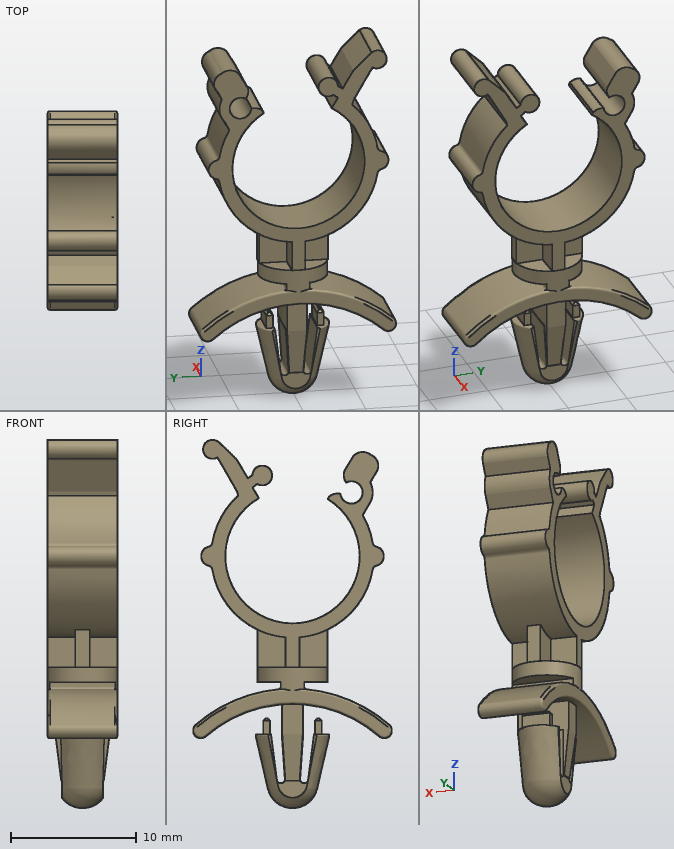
import cadquery as cq
import math


WIDTH = 5.58

RING_OUTER = 6.5
RING_INNER = 5.35
HOOK_END_ANGLE = 58.3
ARM_END_ANGLE = 120.0
HOOK_ROOT_ANGLE = 30.3
ARM_ROOT_ANGLE = 131.9
ROOT_DEPTH = 4.4
ROOT_OVERLAP = 5.0
BUMP_RADIUS = 0.8
BUMP_FILLET = 0.35
PICK = 0.1

LATCH_RADIUS = 0.8
LATCH_CENTRE = (-2.4, 6.43)
ARM_TIP_RADIUS = 0.75
ARM_TIP_CENTRE = (-6.37, 8.52)
SOCKET_RADIUS = 0.88
SOCKET_CENTRE = (4.7, 5.08)
SOCKET_OUTER = 1.7
SOCKET_BACK_START = -25.0
SOCKET_BACK_END = 28.0

RIB_THICKNESS = 1.12
RIB_EMBED = 0.3
RIB_MIDDLE = 1.17
RIB_END = 1.05
DISC_TOP = -8.87
DISC_BOTTOM = -10.05
NECK_HALF = 0.95

SADDLE_APEX = -10.55
SADDLE_RADIUS = 11.75
SADDLE_THICKNESS = 1.23
SADDLE_SPAN = 15.85
SADDLE_EDGE = 0.2
NECK_FILLET = 0.18

STEM_SHOULDER = -14.2
STEM_FOOT = -17.9
STEM_TOP_PLAN = (4.35, 1.73, 1.62)
STEM_FOOT_PLAN = (3.4, 1.2, 1.12)
DOME_BOTTOM = -20.1
DOME_RADIUS = 2.03
DOME_TOP = -18.5
FINGER_TOP = -14.2
FINGER_SPREAD = 1.0
ANCHOR_FOOT_HALF = 1.65
ANCHOR_TOP_HALF = 1.73
FINGER_FILLET = 0.12
SLOT_BOTTOM = -18.05
SLOT_FOOT_HALF = 1.2
SLOT_TOP_HALF = 1.7
SLOT_FILLET = 0.23
PEG_CENTRE = 2.05
PEG_THICKNESS = 0.55
PEG_TOP = -12.92
PEG_CHAMFER = 0.2
PEG_WIDTH = 2.35


def polar(radius, degrees, centre=(0, 0)):
    """Point in the YZ plane at an angle from +Y."""
    angle = math.radians(degrees)
    return (centre[0] + radius * math.cos(angle), centre[1] + radius * math.sin(angle))


def level(z):
    """Horizontal plane at height z."""
    return cq.Workplane("XY", origin=(0, 0, z))


def across(sketch):
    """Extrude a YZ sketch over the full width, symmetrically along X."""
    return sketch.extrude(WIDTH / 2, both=True)


def rod(radius, centre):
    """Full-width cylinder along X."""
    return across(cq.Workplane("YZ").center(*centre).circle(radius))


def tapered_plan(plane, length, middle, end):
    """Outline in plan, long in X, thickest at its middle."""
    half = length / 2
    return plane.polyline(
        [
            (-half, -end / 2),
            (0, -middle / 2),
            (half, -end / 2),
            (half, end / 2),
            (0, middle / 2),
            (-half, end / 2),
        ]
    ).close()


def ring_blank():
    """Open disc with side bumps, before boring."""
    outline = (
        cq.Workplane("YZ")
        .moveTo(0, 0)
        .lineTo(*polar(RING_OUTER, HOOK_ROOT_ANGLE))
        .threePointArc((0, -RING_OUTER), polar(RING_OUTER, ARM_ROOT_ANGLE))
        .close()
    )
    body = across(outline)
    for side in (-1, 1):
        body = body.union(rod(BUMP_RADIUS, (side * RING_OUTER, 0)))
    corner_angle = 2 * math.degrees(math.asin(BUMP_RADIUS / (2 * RING_OUTER)))
    corner_y, corner_z = polar(RING_OUTER, corner_angle)
    for y in (-corner_y, corner_y):
        for z in (-corner_z, corner_z):
            box = cq.selectors.BoxSelector((-PICK, y - PICK, z - PICK), (PICK, y + PICK, z + PICK))
            body = body.edges(box).fillet(BUMP_FILLET)
    return body


def hook():
    """Socket that takes the latch rod, with its rounded thumb block."""
    ring_end = (
        cq.Workplane("YZ")
        .moveTo(*polar(ROOT_DEPTH, HOOK_ROOT_ANGLE - ROOT_OVERLAP))
        .lineTo(*polar(RING_OUTER, HOOK_ROOT_ANGLE))
        .lineTo(*polar(SOCKET_OUTER, SOCKET_BACK_START, SOCKET_CENTRE))
        .threePointArc(
            polar(SOCKET_OUTER, 0, SOCKET_CENTRE),
            polar(SOCKET_OUTER, SOCKET_BACK_END, SOCKET_CENTRE),
        )
        .lineTo(6.75, 6.8)
        .threePointArc((6.75, 7.6), (6.25, 8.08))
        .threePointArc((5.5, 8.3), (4.85, 8.0))
        .lineTo(4.15, 6.8)
        .threePointArc((4.08, 6.35), (4.23, 5.93))
        .lineTo(*SOCKET_CENTRE)
        .lineTo(4.15, 4.4)
        .lineTo(3.8, 5.0)
        .threePointArc((3.3, 4.95), (2.9, 4.75))
        .lineTo(*polar(RING_INNER, HOOK_END_ANGLE))
        .lineTo(*polar(ROOT_DEPTH, HOOK_END_ANGLE))
        .close()
    )
    return across(ring_end).cut(rod(SOCKET_RADIUS, SOCKET_CENTRE))


def latch_arm():
    """Ring end with the latch rod on its inner side and a rounded finger tip."""
    arm = (
        cq.Workplane("YZ")
        .moveTo(*polar(ROOT_DEPTH, ARM_END_ANGLE))
        .lineTo(*polar(RING_INNER, ARM_END_ANGLE))
        .lineTo(-3.17, 5.45)
        .lineTo(-2.82, 5.75)
        .lineTo(*LATCH_CENTRE)
        .lineTo(-3.2, 6.45)
        .lineTo(-3.55, 6.23)
        .lineTo(-4.43, 7.7)
        .lineTo(-5.15, 8.4)
        .lineTo(-5.9, 9.13)
        .lineTo(*ARM_TIP_CENTRE)
        .lineTo(-6.0, 7.85)
        .lineTo(-5.82, 7.58)
        .lineTo(-4.43, 5.17)
        .lineTo(*polar(RING_OUTER, ARM_ROOT_ANGLE))
        .lineTo(*polar(ROOT_DEPTH, ARM_ROOT_ANGLE + ROOT_OVERLAP))
        .close()
    )
    return across(arm).union(rod(LATCH_RADIUS, LATCH_CENTRE)).union(rod(ARM_TIP_RADIUS, ARM_TIP_CENTRE))


def post():
    """Crossed ribs standing on a round disc."""
    height = -DISC_TOP - RING_INNER - RIB_EMBED
    base = level(DISC_TOP)
    ribs = tapered_plan(base, WIDTH, RIB_MIDDLE, RIB_END).extrude(height)
    side_rib = base.rect(RIB_THICKNESS, WIDTH).extrude(-DISC_TOP - RING_INNER / 2)
    ribs = ribs.union(side_rib).cut(rod(RING_INNER + RIB_EMBED, (0, 0)))
    disc = level(DISC_BOTTOM).circle(WIDTH / 2).extrude(DISC_TOP - DISC_BOTTOM)
    return ribs.union(disc)


def saddle():
    """Arched spring strip with round ends and softened sides."""
    centre = (0, SADDLE_APEX - SADDLE_RADIUS)
    end_radius = SADDLE_THICKNESS / 2
    inner = SADDLE_RADIUS - SADDLE_THICKNESS
    middle = SADDLE_RADIUS - end_radius
    end_angle = math.degrees(math.acos((SADDLE_SPAN / 2 - end_radius) / middle))
    end_y, end_z = polar(middle, end_angle, centre)
    tip = polar(end_radius, end_angle - 90, (end_y, end_z))
    outer_y, outer_z = polar(SADDLE_RADIUS, end_angle, centre)
    inner_y, inner_z = polar(inner, end_angle, centre)
    outline = (
        cq.Workplane("YZ")
        .moveTo(-outer_y, outer_z)
        .threePointArc((0, SADDLE_APEX), (outer_y, outer_z))
        .threePointArc(tip, (inner_y, inner_z))
        .threePointArc((0, SADDLE_APEX - SADDLE_THICKNESS), (-inner_y, inner_z))
        .threePointArc((-tip[0], tip[1]), (-outer_y, outer_z))
        .close()
    )
    return across(outline).faces("<X or >X").edges().fillet(SADDLE_EDGE)


def neck():
    """Slab between disc and saddle, flaring where it meets the saddle."""
    bottom = SADDLE_APEX - SADDLE_THICKNESS / 2
    flare_half = NECK_HALF + NECK_FILLET
    flare_foot = SADDLE_APEX - SADDLE_RADIUS + math.sqrt(SADDLE_RADIUS**2 - flare_half**2)
    flare_top = flare_foot + NECK_FILLET
    mid_y, mid_z = polar(NECK_FILLET, 225, (flare_half, flare_top))
    outline = (
        cq.Workplane("YZ")
        .moveTo(-NECK_HALF, DISC_BOTTOM)
        .lineTo(NECK_HALF, DISC_BOTTOM)
        .lineTo(NECK_HALF, flare_top)
        .threePointArc((mid_y, mid_z), (flare_half, flare_foot))
        .lineTo(flare_half, bottom)
        .lineTo(-flare_half, bottom)
        .lineTo(-flare_half, flare_foot)
        .threePointArc((-mid_y, mid_z), (-NECK_HALF, flare_top))
        .close()
    )
    round_ends = level(bottom).circle(WIDTH / 2).extrude(DISC_BOTTOM - bottom)
    return across(outline).intersect(round_ends)


def stem():
    """Central column: straight below the saddle, then tapering down to the dome."""
    top = SADDLE_APEX - SADDLE_THICKNESS / 2
    shoulder = level(STEM_SHOULDER)
    upper = tapered_plan(shoulder, *STEM_TOP_PLAN).extrude(top - STEM_SHOULDER)
    foot = tapered_plan(level(STEM_FOOT), *STEM_FOOT_PLAN)
    lower = tapered_plan(foot.workplane(offset=STEM_SHOULDER - STEM_FOOT), *STEM_TOP_PLAN).loft(ruled=True)
    return upper.union(lower)


def anchor_blank():
    """Dome with two leaning round fingers, trimmed by flat sides."""
    dome_centre = DOME_BOTTOM + DOME_RADIUS
    foot_radius = math.sqrt(DOME_RADIUS**2 - (dome_centre - DOME_TOP) ** 2)
    dome_zone = level(DOME_BOTTOM).rect(WIDTH, WIDTH).extrude(DOME_TOP - DOME_BOTTOM)
    body = level(dome_centre).sphere(DOME_RADIUS).intersect(dome_zone)
    for side in (-1, 1):
        finger = (
            level(DOME_TOP)
            .circle(foot_radius)
            .workplane(offset=FINGER_TOP - DOME_TOP)
            .center(0, side * FINGER_SPREAD)
            .circle(foot_radius)
            .loft(ruled=True)
        )
        body = body.union(finger.faces(">Z").edges().fillet(FINGER_FILLET))
    flats = (
        cq.Workplane("XZ")
        .moveTo(-ANCHOR_FOOT_HALF, DOME_BOTTOM)
        .lineTo(ANCHOR_FOOT_HALF, DOME_BOTTOM)
        .lineTo(ANCHOR_FOOT_HALF, STEM_FOOT)
        .lineTo(ANCHOR_TOP_HALF, FINGER_TOP)
        .lineTo(-ANCHOR_TOP_HALF, FINGER_TOP)
        .lineTo(-ANCHOR_FOOT_HALF, STEM_FOOT)
        .close()
    )
    return body.intersect(flats.extrude(WIDTH, both=True))


def anchor_slot(side):
    """Gap between the stem and one finger."""
    outline = (
        cq.Workplane("YZ")
        .moveTo(side * STEM_FOOT_PLAN[1] / 2, SLOT_BOTTOM)
        .lineTo(side * SLOT_FOOT_HALF, SLOT_BOTTOM)
        .lineTo(side * SLOT_TOP_HALF, FINGER_TOP)
        .lineTo(side * STEM_TOP_PLAN[1] / 2, FINGER_TOP)
        .close()
    )
    return across(outline).faces("<Z").edges("|X").fillet(SLOT_FILLET)


def peg(side):
    """Small upright tab on top of one finger."""
    base = level(FINGER_TOP).center(0, side * PEG_CENTRE)
    block = base.rect(PEG_WIDTH, PEG_THICKNESS).extrude(PEG_TOP - FINGER_TOP)
    return block.faces(">Z").edges().chamfer(PEG_CHAMFER)


def anchor():
    body = anchor_blank()
    for side in (-1, 1):
        body = body.cut(anchor_slot(side)).union(peg(side))
    return body


def clip():
    """Ring with its snap closure, bored in one pass."""
    return ring_blank().union(hook()).union(latch_arm()).cut(rod(RING_INNER, (0, 0)))


result = clip().union(post()).union(neck()).union(saddle()).union(stem()).union(anchor())